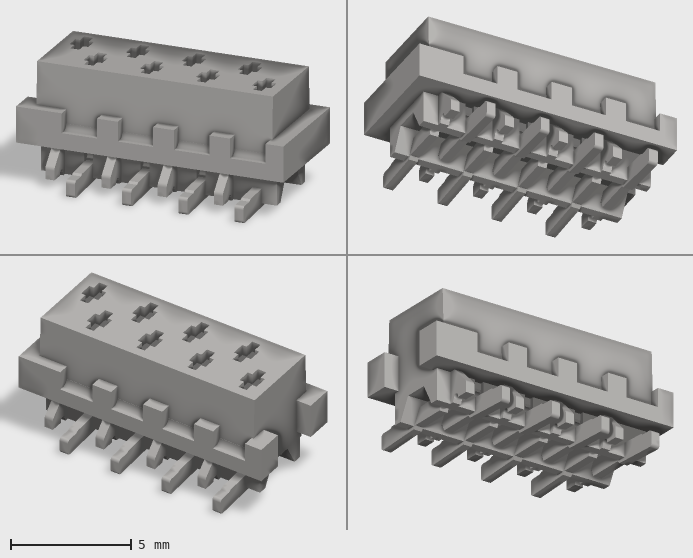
import cadquery as cq
import math


total_height = 5.25
body_length = 10.66
body_top_half_width = 1.92
body_bottom_half_width = 2.05
base_half_width = 1.51
base_bottom = 0.24
arch_top = 1.25
arch_bottom_half_width = 1.11
arch_top_half_width = 0.57

flange_length = 12.09
flange_half_width = 2.5
flange_bottom = 1.72
flange_top = 3.32
flange_gap_half_width = 1.25
body_start = -body_length / 2
flange_start = -flange_length / 2

notch_length = 1.6
notch_floor = 2.44
notch_flat_width = 0.22

contact_count = 8
pitch = 1.27
contact_width = 0.41

opening_offset = 0.75
opening_length = 1.49
opening_arm_span = 0.85
opening_arm_width = 0.63
opening_depth = 0.51

lead_tip_span = 6.9
lead_reach = lead_tip_span / 2
lead_tip_top = 0.76
lead_ramp_foot = 0.77
lead_tip_bottom = -0.006
lead_tip_fillet = 0.15
lead_ramp_outer = 2.82
lead_ramp_inner = 2.7
lead_top = 0.85
lead_step_outer = 1.14
lead_step_inner = 1.02
lead_step_bottom = 0.103
bar_end_top = 1.05

leg_reach = 2.66
leg_bottom = 0.35
leg_corner_height = 0.87
leg_corner_fillet = 0.22
leg_notch_centre = 1.91
bar_notch_centre = 0.95
contact_notch_radius = 0.15
contact_notch_top = 0.57
contact_notch_flare = 0.07

recess_depth = 0.18
recess_slope_top = 1.41
groove_top = 1.3
groove_bottom = 1.02
recess_slope_run = 0.04


def body_half_width(height):
    """Half width of the drafted upper body at a given height."""
    fraction = (height - flange_bottom) / (total_height - flange_bottom)
    return body_bottom_half_width + fraction * (body_top_half_width - body_bottom_half_width)


def extrude_along_x(profile, centre, length):
    """Closed YZ profile extruded symmetrically about X = centre."""
    return profile.close().extrude(length / 2, both=True).translate((centre, 0, 0))


def box_between(x_range, y_range, z_range):
    """Box given by its two limits on each axis."""
    ranges = (x_range, y_range, z_range)
    size = [upper - lower for lower, upper in ranges]
    return cq.Workplane("XY").box(*size, centered=False).translate([lower for lower, _ in ranges])


def turned(shape, side):
    """Leave a shape on the -Y side, or turn it half round Z for the +Y side."""
    return shape if side < 0 else shape.rotate((0, 0, 0), (0, 0, 1), 180)


def contact_x(index):
    return (index - (contact_count - 1) / 2) * pitch


def lead_side(index):
    """Even contacts send their long lead to +Y, odd ones to -Y."""
    return 1 if index % 2 == 0 else -1


def make_body():
    upper = cq.Workplane("YZ").polyline([
        (-body_bottom_half_width, flange_bottom),
        (body_bottom_half_width, flange_bottom),
        (body_top_half_width, total_height),
        (-body_top_half_width, total_height),
    ])
    base = cq.Workplane("YZ").polyline([
        (-base_half_width, flange_bottom),
        (-base_half_width, base_bottom),
        (-arch_bottom_half_width, base_bottom),
        (-arch_top_half_width, arch_top),
        (arch_top_half_width, arch_top),
        (arch_bottom_half_width, base_bottom),
        (base_half_width, base_bottom),
        (base_half_width, flange_bottom),
    ])
    return extrude_along_x(upper, 0, body_length).union(extrude_along_x(base, 0, body_length))


def make_notch_cutter(x):
    """Flange notch on the -Y side, with a rounded foot against the drafted body wall.

    Above the foot it reaches in behind the wall, where the body fills the flange again.
    """
    flat_end = flange_half_width - notch_flat_width
    radius = flat_end - body_half_width(notch_floor)
    arc_end = notch_floor + radius
    middle = radius * math.sqrt(0.5)
    profile = (
        cq.Workplane("YZ")
        .moveTo(-flange_half_width, notch_floor)
        .lineTo(-flat_end, notch_floor)
        .threePointArc(
            (-flat_end + middle, arc_end - middle),
            (-flat_end + radius, arc_end),
        )
        .lineTo(-base_half_width, arc_end)
        .lineTo(-base_half_width, flange_top)
        .lineTo(-flange_half_width, flange_top)
    )
    return extrude_along_x(profile, x, notch_length)


def make_flange():
    flange = box_between(
        (flange_start, flange_start + flange_length),
        (-flange_half_width, flange_half_width),
        (flange_bottom, flange_top),
    )
    gap = box_between(
        (flange_start, body_start),
        (-flange_gap_half_width, flange_gap_half_width),
        (flange_bottom, flange_top),
    )
    flange = flange.cut(gap)
    for index in range(contact_count):
        side = lead_side(index)
        flange = flange.cut(turned(make_notch_cutter(-side * contact_x(index)), side))
    return flange


def make_opening(index):
    """Blind cross-shaped opening above a contact."""
    floor = cq.Workplane("XY", origin=(
        contact_x(index), lead_side(index) * opening_offset, total_height - opening_depth))
    blade = floor.rect(contact_width, opening_length).extrude(opening_depth)
    arms = floor.rect(opening_arm_span, opening_arm_width).extrude(opening_depth)
    return blade.union(arms)


def make_recess(x):
    """Recess in the -Y base wall, with a concave groove between two overhanging slopes."""
    wall = -base_half_width + recess_depth
    groove_wall = wall + recess_slope_run
    groove_radius = (groove_top - groove_bottom) / 2
    profile = (
        cq.Workplane("YZ")
        .moveTo(-base_half_width, flange_bottom)
        .lineTo(wall, flange_bottom)
        .lineTo(wall, recess_slope_top)
        .lineTo(groove_wall, groove_top)
        .threePointArc(
            (groove_wall + groove_radius, groove_top - groove_radius),
            (groove_wall, groove_bottom),
        )
        .lineTo(groove_wall + recess_slope_run, lead_top)
        .lineTo(-base_half_width, lead_top)
    )
    return extrude_along_x(profile, x, contact_width)


def make_contact(x):
    """Contact with its long lead at -Y and its short leg at +Y."""
    lead = cq.Workplane("YZ").polyline([
        (-lead_reach, lead_tip_bottom),
        (-lead_step_outer, lead_step_bottom),
        (-lead_step_inner, base_bottom),
        (base_half_width, base_bottom),
        (base_half_width, bar_end_top),
        (-lead_ramp_inner, lead_top),
        (-lead_ramp_outer, lead_ramp_foot),
        (-lead_reach, lead_tip_top),
    ])
    lead = extrude_along_x(lead, 0, contact_width).edges("|X and <Y").fillet(lead_tip_fillet)

    leg_slope_run = flange_bottom - leg_corner_height
    leg = cq.Workplane("YZ").polyline([
        (base_half_width, base_bottom),
        (leg_notch_centre, base_bottom),
        (leg_notch_centre, leg_bottom),
        (leg_reach, leg_bottom),
        (leg_reach, leg_corner_height),
        (leg_reach - leg_slope_run, flange_bottom),
        (base_half_width, flange_bottom),
    ])
    leg = extrude_along_x(leg, 0, contact_width)
    leg_corner = cq.selectors.NearestToPointSelector((0, leg_reach, leg_corner_height))
    leg = leg.edges("|X").edges(leg_corner).fillet(leg_corner_fillet)

    contact = lead.union(leg)
    for centre in (bar_notch_centre, leg_notch_centre):
        contact = contact.cut(make_contact_notch(centre))
    return contact.translate((x, 0, 0))


def make_contact_notch(y):
    """Round-topped notch in the underside of a contact, flared towards the long lead."""
    arc_centre = contact_notch_top - contact_notch_radius
    profile = (
        cq.Workplane("YZ")
        .moveTo(y - contact_notch_radius - contact_notch_flare, base_bottom)
        .lineTo(y - contact_notch_radius, arc_centre)
        .threePointArc((y, contact_notch_top), (y + contact_notch_radius, arc_centre))
        .lineTo(y + contact_notch_radius, base_bottom)
    )
    return extrude_along_x(profile, 0, contact_width)


housing = make_body().union(make_flange())

for index in range(contact_count):
    housing = housing.cut(make_opening(index))

for index in range(1, contact_count - 1):
    side = lead_side(index)
    housing = housing.cut(turned(make_recess(-side * contact_x(index)), side))

result = housing
for index in range(contact_count):
    side = lead_side(index)
    result = result.union(turned(make_contact(-side * contact_x(index)), side))